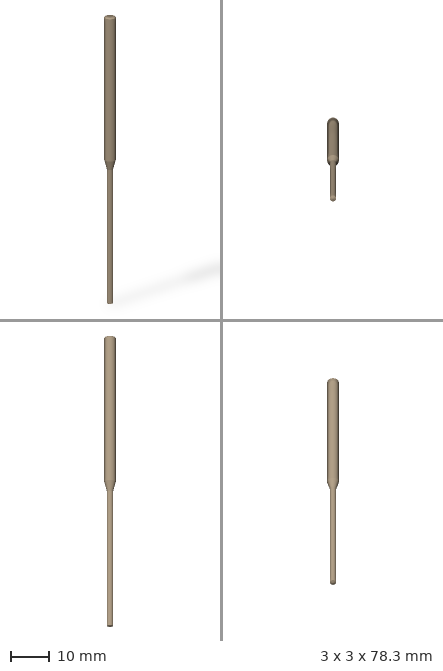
import cadquery as cq
import math

overall_length = 78.33
shank_diameter = 3.0
drill_diameter = 1.6

shank_length = 39.0
neck_length = 4.3
end_chamfer = 0.3

taper_angle = 30.0
point_angle = 135.0

shank_radius = shank_diameter / 2
drill_radius = drill_diameter / 2
taper_length = (shank_radius - drill_radius) / math.tan(math.radians(taper_angle / 2))
point_height = drill_radius / math.tan(math.radians(point_angle / 2))

shank_bottom = overall_length - shank_length
taper_bottom = shank_bottom - taper_length
neck_bottom = taper_bottom - neck_length


def turned(profile):
    """Revolve a closed (radius, Z) profile about the tool axis."""
    return cq.Workplane("XZ").polyline(profile).close().revolve(360, (0, 0), (0, 1))


def make_holder():
    """Chamfered shank, taper and plain neck, ending flat at the drill."""
    return turned([
        (0, neck_bottom),
        (drill_radius, neck_bottom),
        (drill_radius, taper_bottom),
        (shank_radius, shank_bottom),
        (shank_radius, overall_length - end_chamfer),
        (shank_radius - end_chamfer, overall_length),
        (0, overall_length),
    ])


def make_drill():
    """Cylindrical cutting part with a conical point."""
    return turned([
        (0, 0),
        (drill_radius, point_height),
        (drill_radius, neck_bottom),
        (0, neck_bottom),
    ])


holder = make_holder()
drill = make_drill()

result = cq.Compound.makeCompound([holder.val(), drill.val()])